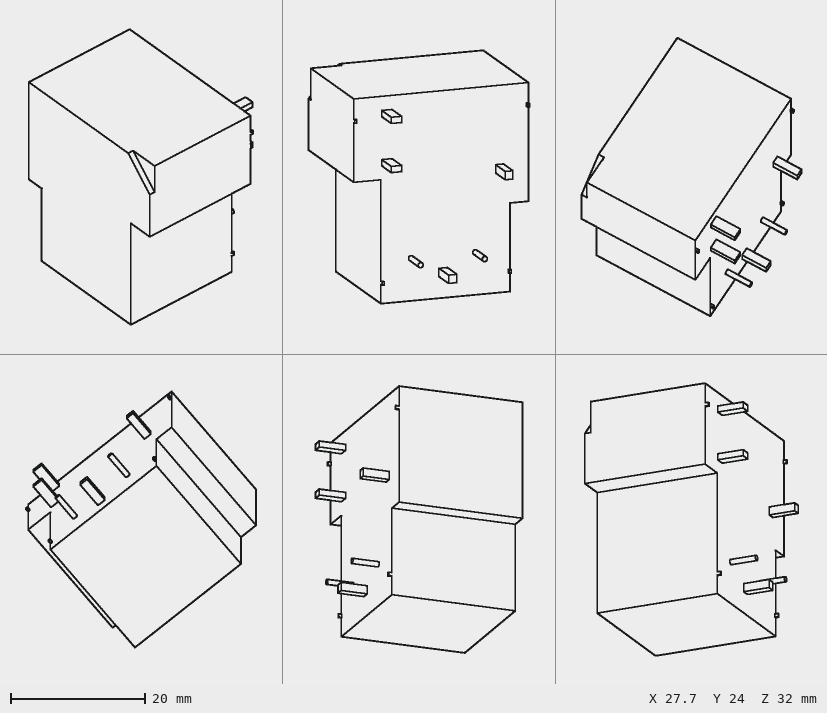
import cadquery as cq

width = 27.7
height = 32.0
total_depth = 24.0
pin_length = 4.2
housing_depth = total_depth - pin_length
lower_left = 2.9
lower_right = 23.4
left_step_height = 13.65
right_step_height = 19.15

recess_leg = 4.93
recess_depth = 0.95

foot_width = 0.32
foot_height = 0.5
foot_length = 0.5
upper_foot_z = 28.6
lower_foot_z = 3.23

round_pin_diameter = 0.8
round_pin_spacing = 10.18
round_pin_z = 6.6

common_pin_x = 13.55
common_pin_z = 4.0
common_pin_width = 1.35
common_pin_height = 1.28

side_pin_x = 4.6
side_pin_z = 19.17
side_pin_width = 1.25
side_pin_height = 1.28

contact_pin_x = 22.45
contact_pin_levels = (29.35, 21.75)
contact_pin_width = 1.63
contact_pin_height = 0.95


def back_box(x, z, size_x, size_z, length):
    """Bar centred on (x, z) that stands on the back face of the housing."""
    return cq.Workplane("XY").box(size_x, length, size_z).translate((x, housing_depth + length / 2, z))


def make_housing():
    outline = [
        (lower_left, 0),
        (lower_right, 0),
        (lower_right, right_step_height),
        (width, right_step_height),
        (width, height),
        (0, height),
        (0, left_step_height),
        (lower_left, left_step_height),
    ]
    body = cq.Workplane("XZ").polyline(outline).close().extrude(-housing_depth)

    recess_outline = [
        (width - recess_leg, height),
        (width, height),
        (width, height - recess_leg),
    ]
    recess = cq.Workplane("XZ").polyline(recess_outline).close().extrude(-recess_depth)
    body = body.cut(recess)

    for left, right, z in ((0, width, upper_foot_z), (lower_left, lower_right, lower_foot_z)):
        for x in (left + foot_width / 2, right - foot_width / 2):
            body = body.union(back_box(x, z, foot_width, foot_height, foot_length))
    return body


def make_round_pin(x):
    return (
        cq.Workplane("XZ", origin=(x, housing_depth, round_pin_z))
        .circle(round_pin_diameter / 2)
        .extrude(-pin_length)
    )


def make_contact_pin(z):
    return back_box(contact_pin_x, z, contact_pin_width, contact_pin_height, pin_length)


housing = make_housing()
common_pin = back_box(common_pin_x, common_pin_z, common_pin_width, common_pin_height, pin_length)
side_pin = back_box(side_pin_x, side_pin_z, side_pin_width, side_pin_height, pin_length)
round_pins = [make_round_pin(common_pin_x + side * round_pin_spacing / 2) for side in (-1, 1)]
contact_pins = [make_contact_pin(z) for z in contact_pin_levels]

result = cq.Compound.makeCompound([
    housing.val(),
    common_pin.val(),
    side_pin.val(),
    *[pin.val() for pin in round_pins],
    *[pin.val() for pin in contact_pins],
])